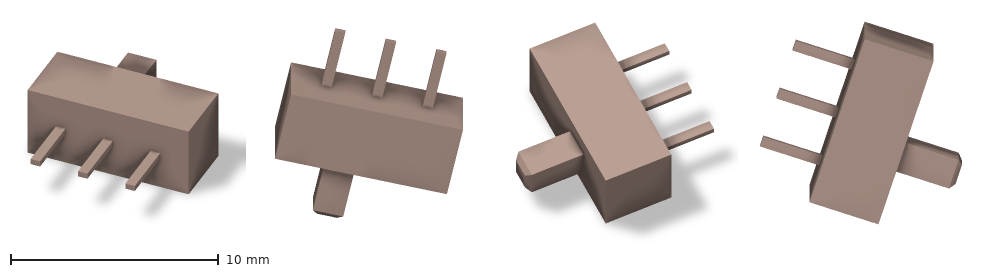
import cadquery as cq

body_length = 8.5
body_depth = 3.5
body_height = 3.7

pin_count = 3
pin_pitch = 2.5
pin_width = 0.5
pin_thickness = 0.3
pin_length = 3.0

lever_side = 1.5
lever_length = 3.0
lever_offset = -1.0
lever_chamfer = 0.25

front_y = -body_depth / 2
back_y = body_depth / 2


def make_body():
    return cq.Workplane("XY").box(body_length, body_depth, body_height)


def make_pin(x):
    pin = cq.Workplane("XY").box(pin_width, pin_length, pin_thickness)
    return pin.translate((x, front_y - pin_length / 2, 0))


def make_lever():
    lever = cq.Workplane("XY").box(lever_side, lever_length, lever_side)
    lever = lever.faces(">Y").chamfer(lever_chamfer)
    return lever.translate((lever_offset, back_y + lever_length / 2, 0))


result = make_body().union(make_lever())
for index in range(pin_count):
    pin_x = (index - (pin_count - 1) / 2) * pin_pitch
    result = result.union(make_pin(pin_x))